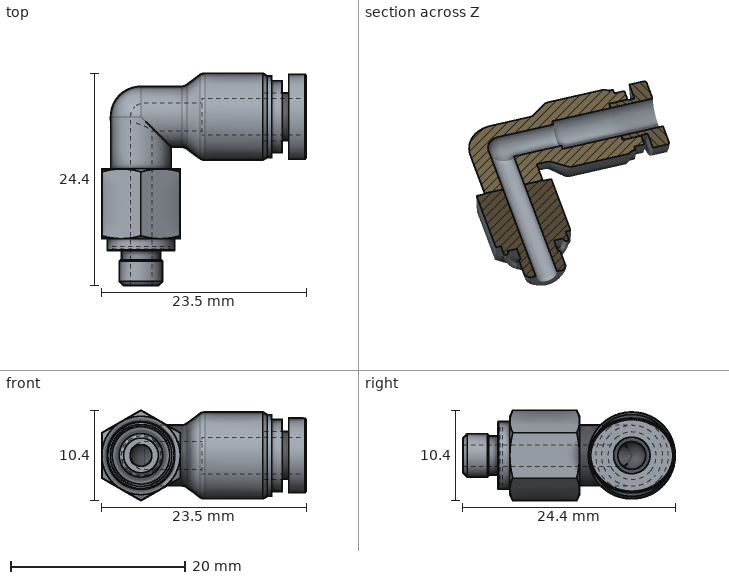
import cadquery as cq
import math


ELBOW_R = 7.0 / 2
STUD_BORE_R = 2.5 / 2
TUBE_LEG_BORE_R = 3.2 / 2
BORE_END_X = TUBE_LEG_BORE_R - STUD_BORE_R

HOUSING_R = 10.0 / 2
FLARE_START_X = 5.0
FLARE_END_X = 7.0
FLARE_BLEND_R = 1.0
BARREL_END_X = 14.0
RIM_R = 9.4 / 2
RIM_TAPER_LENGTH = 0.5
RIM_END_X = 15.0
COLLAR_R = 8.3 / 2
COLLAR_END_X = 16.2
TUBE_R = 4.2 / 2
TUBE_STOP_X = FLARE_END_X

SLEEVE_R = 5.5 / 2
SLEEVE_START_X = BARREL_END_X
HEAD_START_X = 16.95
HEAD_END_X = 19.0
HEAD_WIDTH_Y = 9.8
HEAD_HEIGHT_Z = 8.6
HEAD_CHAMFER = 0.2

HEX_START = 6.0
HEX_END = 14.0
HEX_FLATS = 9.0
HEX_CHAMFER_ANGLE = 25.0
FLANGE_R = 7.8 / 2
FLANGE_END = 15.4
FLANGE_CHAMFER = 0.1
RECESS_CHAMFER = 0.25
RECESS_R = 6.6 / 2
RECESS_DEPTH = 0.5
NECK_R = 4.5 / 2
THREAD_R = 5.0 / 2
THREAD_START = 16.4
THREAD_RUNOUT = 0.2
STUD_END = 19.4
TIP_CHAMFER = 0.5


def cylinder_x(radius, start, end):
    return cq.Workplane("YZ", origin=(start, 0, 0)).circle(radius).extrude(end - start)


def cylinder_y(radius, start, end):
    """Cylinder on the stud axis between two distances along -Y."""
    return cq.Workplane("XZ", origin=(0, -start, 0)).circle(radius).extrude(end - start)


def revolve_about_y(points):
    """Revolve a closed outline of (radius, distance along -Y) points."""
    outline = [(radius, -distance) for radius, distance in points]
    return cq.Workplane("XY").polyline(outline).close().revolve(360, (0, 0, 0), (0, 1, 0))


def make_tube_leg():
    """Straight pipe, blended flare, barrel, rim and collar as one revolved outline."""
    flare_angle = math.atan2(HOUSING_R - ELBOW_R, FLARE_END_X - FLARE_START_X)
    tangent = FLARE_BLEND_R * math.tan(flare_angle / 2)
    along = tangent * math.cos(flare_angle)
    outward = tangent * math.sin(flare_angle)
    half_run = FLARE_BLEND_R * math.sin(flare_angle / 2)
    half_rise = FLARE_BLEND_R * (1 - math.cos(flare_angle / 2))
    blend_start_x = FLARE_START_X - tangent
    blend_end_x = FLARE_END_X + tangent
    return (
        cq.Workplane("XY")
        .lineTo(0, ELBOW_R)
        .lineTo(blend_start_x, ELBOW_R)
        .threePointArc(
            (blend_start_x + half_run, ELBOW_R + half_rise),
            (FLARE_START_X + along, ELBOW_R + outward),
        )
        .lineTo(FLARE_END_X - along, HOUSING_R - outward)
        .threePointArc(
            (blend_end_x - half_run, HOUSING_R - half_rise),
            (blend_end_x, HOUSING_R),
        )
        .lineTo(BARREL_END_X, HOUSING_R)
        .lineTo(BARREL_END_X + RIM_TAPER_LENGTH, RIM_R)
        .lineTo(RIM_END_X, RIM_R)
        .lineTo(RIM_END_X, COLLAR_R)
        .lineTo(COLLAR_END_X, COLLAR_R)
        .lineTo(COLLAR_END_X, 0)
        .close()
        .revolve(360, (0, 0, 0), (1, 0, 0))
    )


def make_elbow():
    outside = make_tube_leg()
    outside = outside.union(cylinder_y(ELBOW_R, 0, HEX_START))
    outside = outside.union(cq.Workplane("XY").sphere(ELBOW_R))

    bore_end = cq.Workplane("XY", origin=(BORE_END_X, 0, 0)).sphere(TUBE_LEG_BORE_R)
    return (
        outside.cut(cylinder_x(TUBE_LEG_BORE_R, BORE_END_X, TUBE_STOP_X))
        .cut(bore_end)
        .cut(cylinder_y(STUD_BORE_R, 0, HEX_START))
        .cut(cylinder_x(TUBE_R, TUBE_STOP_X, SLEEVE_START_X))
        .cut(cylinder_x(SLEEVE_R, SLEEVE_START_X, COLLAR_END_X))
    )


def make_button():
    head = (
        cq.Workplane("YZ", origin=(HEAD_START_X, 0, 0))
        .ellipse(HEAD_WIDTH_Y / 2, HEAD_HEIGHT_Z / 2)
        .extrude(HEAD_END_X - HEAD_START_X)
        .faces(">X")
        .chamfer(HEAD_CHAMFER)
    )
    sleeve = cylinder_x(SLEEVE_R, SLEEVE_START_X, HEAD_START_X)
    return head.union(sleeve).cut(cylinder_x(TUBE_R, SLEEVE_START_X, HEAD_END_X))


def make_hexagon():
    """Hexagon with two corners on the Z axis and a conical chamfer at both ends."""
    corner_r = HEX_FLATS / 2 / math.cos(math.pi / 6)
    chamfer_depth = (corner_r - HEX_FLATS / 2) * math.tan(math.radians(HEX_CHAMFER_ANGLE))
    prism = (
        cq.Workplane("XZ", origin=(0, -HEX_START, 0))
        .transformed(rotate=(0, 0, 90))
        .polygon(6, 2 * corner_r)
        .extrude(HEX_END - HEX_START)
    )
    chamfer_envelope = revolve_about_y([
        (0, HEX_START),
        (HEX_FLATS / 2, HEX_START),
        (corner_r, HEX_START + chamfer_depth),
        (corner_r, HEX_END - chamfer_depth),
        (HEX_FLATS / 2, HEX_END),
        (0, HEX_END),
    ])
    return prism.intersect(chamfer_envelope)


def make_stud():
    shank = revolve_about_y([
        (0, HEX_END),
        (FLANGE_R, HEX_END),
        (FLANGE_R, FLANGE_END - FLANGE_CHAMFER),
        (FLANGE_R - FLANGE_CHAMFER, FLANGE_END),
        (RECESS_R + RECESS_CHAMFER, FLANGE_END),
        (RECESS_R, FLANGE_END - RECESS_CHAMFER),
        (RECESS_R, FLANGE_END - RECESS_DEPTH),
        (NECK_R, FLANGE_END - RECESS_DEPTH),
        (NECK_R, THREAD_START),
        (THREAD_R - THREAD_RUNOUT, THREAD_START),
        (THREAD_R, THREAD_START + THREAD_RUNOUT),
        (THREAD_R, STUD_END - TIP_CHAMFER),
        (THREAD_R - TIP_CHAMFER, STUD_END),
        (0, STUD_END),
    ])
    return make_hexagon().union(shank).cut(cylinder_y(STUD_BORE_R, HEX_START, STUD_END))


elbow = make_elbow()
button = make_button()
stud = make_stud()

result = cq.Compound.makeCompound([
    elbow.solids().val(),
    button.solids().val(),
    stud.solids().val(),
])